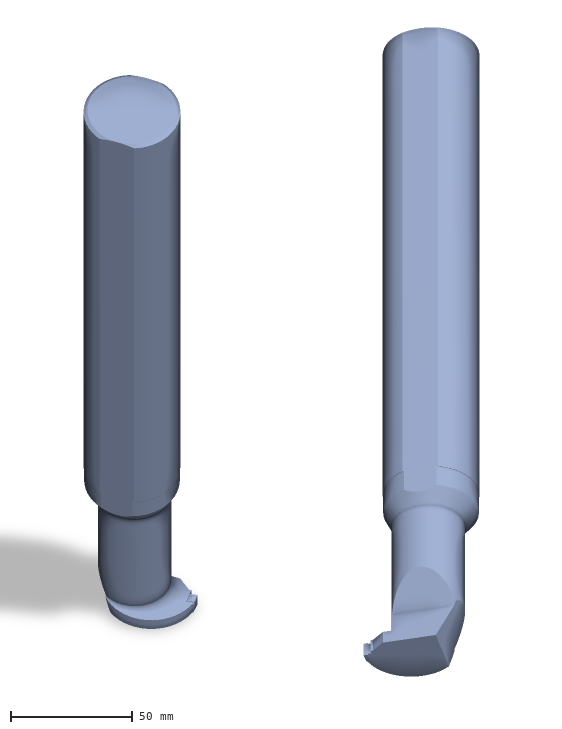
import cadquery as cq
import math

TOTAL_LENGTH = 301.0

SHANK_DIAMETER = 40.0
ACROSS_FLATS = 37.0
END_CHAMFER_RADIAL = 1.6
END_CHAMFER_HEIGHT = 1.0

JOINT_Z = 87.0
LOWER_COLLAR_DIAMETER = 39.5
UPPER_COLLAR_HEIGHT = 10.0
COLLAR_STEP_Z = JOINT_Z - UPPER_COLLAR_HEIGHT
CONE_TOP_Z = 67.5
CONE_BOTTOM_Z = 60.5
NECK_DIAMETER = 30.5
NECK_X = 1.2
NECK_Y = 0.0

BLADE_BOTTOM_Z = 0.5
BLADE_TOP_Z = 6.0
BLADE_RADIUS = 20.49
BLADE_X = 8.5
BLADE_NOSE_X = 24.9
BLADE_NOSE_Y = 1.2
BACK_BEVEL_ANGLE = 40.0

RELIEF_ANGLE = 30.0
SIDE_RELIEF_BOTTOM_X = -3.5
BACK_WALL_Y = 6.2
BACK_WALL_TOP_Z = 14.0

INSERT_INNER_X = 16.0
INSERT_STEP_X = 25.4
BAR_BACK_Y = 1.7
BAR_FRONT_Y = -5.4
STEM_FRONT_Y = -5.0
STEM_RECESS = 0.4
RAKE_FACE_Y = 0.0
TIP_X = 28.69
TIP_LENGTH = 1.8
TIP_OVERHANG = BLADE_BOTTOM_Z
CLEARANCE_ANGLE = 7.0

OVERSHOOT = 50.0


def cylinder(diameter, bottom_z, top_z, x=0.0, y=0.0):
    return cq.Workplane("XY", origin=(x, y, bottom_z)).circle(diameter / 2).extrude(top_z - bottom_z)


def flatted_bar(diameter, bottom_z, top_z):
    """Round bar with two parallel flats, on its -Y and +Y sides."""
    flat_y = ACROSS_FLATS / 2
    radius = diameter / 2
    flat_half_width = math.sqrt(radius**2 - flat_y**2)
    return (
        cq.Workplane("XY", origin=(0, 0, bottom_z))
        .moveTo(-flat_half_width, -flat_y)
        .lineTo(flat_half_width, -flat_y)
        .threePointArc((radius, 0), (flat_half_width, flat_y))
        .lineTo(-flat_half_width, flat_y)
        .threePointArc((-radius, 0), (-flat_half_width, -flat_y))
        .close()
        .extrude(top_z - bottom_z)
    )


def make_shank():
    radius = SHANK_DIAMETER / 2
    chamfer_section = (
        cq.Workplane("XZ")
        .moveTo(radius - END_CHAMFER_RADIAL, TOTAL_LENGTH)
        .lineTo(radius, TOTAL_LENGTH)
        .lineTo(radius, TOTAL_LENGTH - END_CHAMFER_HEIGHT)
        .close()
    )
    chamfer_ring = chamfer_section.revolve(360, (0, 0, 0), (0, 1, 0))
    return flatted_bar(SHANK_DIAMETER, JOINT_Z, TOTAL_LENGTH).cut(chamfer_ring)


def make_collar():
    collar = flatted_bar(SHANK_DIAMETER, COLLAR_STEP_Z, JOINT_Z)
    collar = collar.union(flatted_bar(LOWER_COLLAR_DIAMETER, CONE_TOP_Z, COLLAR_STEP_Z))
    cone = (
        cq.Workplane("XY", origin=(0, 0, CONE_TOP_Z))
        .circle(LOWER_COLLAR_DIAMETER / 2)
        .workplane(offset=CONE_BOTTOM_Z - CONE_TOP_Z)
        .center(NECK_X, NECK_Y)
        .circle(NECK_DIAMETER / 2)
        .loft()
    )
    slab_height = CONE_TOP_Z - CONE_BOTTOM_Z
    slab = (
        cq.Workplane("XY", origin=(0, 0, CONE_BOTTOM_Z))
        .box(SHANK_DIAMETER, ACROSS_FLATS, slab_height, centered=(True, True, False))
    )
    return collar.union(cone.intersect(slab))


def make_blade():
    """Lower part of a disc, cut straight at the back and bevelled behind the insert."""
    bevel_drop = BACK_WALL_Y - BLADE_NOSE_Y
    bevel_start_x = BLADE_NOSE_X - bevel_drop / math.tan(math.radians(BACK_BEVEL_ANGLE))
    kept_area = (
        cq.Workplane("XY", origin=(0, 0, BLADE_BOTTOM_Z))
        .moveTo(-OVERSHOOT, BACK_WALL_Y)
        .lineTo(bevel_start_x, BACK_WALL_Y)
        .lineTo(BLADE_NOSE_X, BLADE_NOSE_Y)
        .lineTo(INSERT_STEP_X, STEM_FRONT_Y)
        .lineTo(OVERSHOOT, STEM_FRONT_Y)
        .lineTo(OVERSHOOT, -OVERSHOOT)
        .lineTo(-OVERSHOOT, -OVERSHOOT)
        .close()
        .extrude(BLADE_TOP_Z - BLADE_BOTTOM_Z)
    )
    disc = cylinder(2 * BLADE_RADIUS, BLADE_BOTTOM_Z, BLADE_TOP_Z, x=BLADE_X)
    return disc.intersect(kept_area)


def side_relief():
    """Wedge that slopes the -X side of the neck and blade."""
    reach = OVERSHOOT * math.tan(math.radians(RELIEF_ANGLE))
    return (
        cq.Workplane("XZ")
        .moveTo(SIDE_RELIEF_BOTTOM_X, BLADE_BOTTOM_Z)
        .lineTo(SIDE_RELIEF_BOTTOM_X - reach, BLADE_BOTTOM_Z + OVERSHOOT)
        .lineTo(SIDE_RELIEF_BOTTOM_X - reach, BLADE_BOTTOM_Z)
        .close()
        .extrude(OVERSHOOT, both=True)
    )


def back_relief():
    """Cut behind the blade: an upright wall that runs out in a slope up the neck."""
    reach = OVERSHOOT * math.tan(math.radians(RELIEF_ANGLE))
    return (
        cq.Workplane("YZ")
        .moveTo(BACK_WALL_Y, BLADE_BOTTOM_Z)
        .lineTo(BACK_WALL_Y, BACK_WALL_TOP_Z)
        .lineTo(BACK_WALL_Y + reach, BACK_WALL_TOP_Z + OVERSHOOT)
        .lineTo(BACK_WALL_Y + reach, BLADE_BOTTOM_Z)
        .close()
        .extrude(OVERSHOOT, both=True)
    )


def make_head(insert):
    neck = cylinder(NECK_DIAMETER, BLADE_BOTTOM_Z, CONE_BOTTOM_Z, NECK_X, NECK_Y)
    head = make_collar().union(neck).union(make_blade())
    return head.cut(side_relief()).cut(back_relief()).cut(insert)


def block(x_start, x_end, y_start, y_end, top_z):
    """Upright block that stands level with the underside of the blade."""
    return (
        cq.Workplane("XY", origin=(x_start, y_start, BLADE_BOTTOM_Z))
        .box(x_end - x_start, y_end - y_start, top_z - BLADE_BOTTOM_Z, centered=False)
    )


def make_insert():
    seated_bar = block(INSERT_INNER_X, INSERT_STEP_X, BAR_FRONT_Y, BAR_BACK_Y, BLADE_TOP_Z)
    stem_top_z = BLADE_TOP_Z - STEM_RECESS
    stem = block(INSERT_STEP_X, TIP_X, STEM_FRONT_Y, RAKE_FACE_Y, stem_top_z)
    clearance_run = TIP_OVERHANG / math.tan(math.radians(CLEARANCE_ANGLE))
    tip = (
        cq.Workplane("YZ", origin=(TIP_X - TIP_LENGTH, 0, 0))
        .moveTo(RAKE_FACE_Y, BLADE_BOTTOM_Z - TIP_OVERHANG)
        .lineTo(RAKE_FACE_Y, BLADE_TOP_Z)
        .lineTo(RAKE_FACE_Y - clearance_run, BLADE_TOP_Z)
        .lineTo(RAKE_FACE_Y - clearance_run, BLADE_BOTTOM_Z)
        .close()
        .extrude(TIP_LENGTH)
    )
    return seated_bar.union(stem).union(tip)


shank = make_shank()
insert = make_insert()
head = make_head(insert)

result = cq.Compound.makeCompound([shank.val(), head.val(), insert.val()])